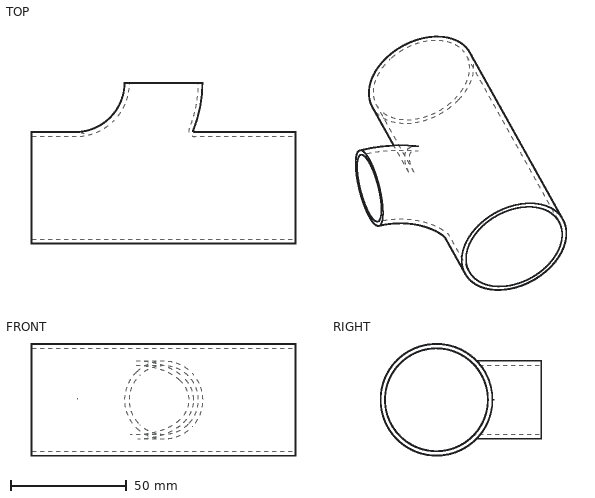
import cadquery as cq

run_length = 114.0
run_outer_diameter = 48.3
wall = 2.0

branch_outer_diameter = 33.7
bend_radius = 38.0
bend_angle = 90.0
bend_dip = 0.01

outer_joint_fillet = 0.5
bore_joint_fillet = outer_joint_fillet + wall

run_outer_radius = run_outer_diameter / 2
run_inner_radius = run_outer_radius - wall
branch_outer_radius = branch_outer_diameter / 2
branch_inner_radius = branch_outer_radius - wall
bend_inside_radius = bend_radius - branch_outer_radius
branch_end_y = run_outer_radius - bend_dip + bend_inside_radius


def run_cylinder(radius):
    """Solid cylinder along X over the full run length."""
    start_face = cq.Workplane("YZ", origin=(-run_length / 2, 0, 0)).circle(radius)
    return start_face.extrude(run_length)


def branch_bend(radius):
    """Solid bend that starts at the branch end heading -Y and turns towards -X."""
    end_face = cq.Workplane("XZ", origin=(0, branch_end_y, 0)).circle(radius)
    return end_face.revolve(bend_angle, (-bend_radius, 1, 0), (-bend_radius, 0, 0))


def solid_tee(run_radius, branch_radius, joint_fillet):
    """Solid run and branch joined, with the curve where they meet filleted."""
    tee = run_cylinder(run_radius).union(branch_bend(branch_radius))
    return tee.edges("%BSPLINE").fillet(joint_fillet)


outside = solid_tee(run_outer_radius, branch_outer_radius, outer_joint_fillet)
bore = solid_tee(run_inner_radius, branch_inner_radius, bore_joint_fillet)

result = outside.cut(bore)